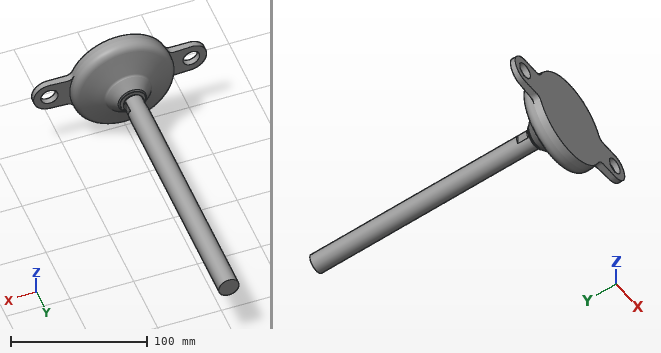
import cadquery as cq
import math

total_height = 231.5

foot_radius = 40.0
sole_radius = 39.1
skirt_height = 5.8
band_top = 9.3
shoulder_radius = 6.5
slope_angle = 21.1
hub_base_radius = 19.0
hub_blend_radius = 17.5
hub_blend_height = 23.2
hub_top_radius = 11.0
hub_top_height = 29.9
groove_radius = 9.5
groove_height = 30.3
lip_radius = 10.2
lip_height = 30.8
collar_height = 31.3

lug_radius = 12.3
lug_hole_diameter = 13.2
lug_reach = 136.0 / 2
lug_centre = lug_reach - lug_radius
lug_tip_height = 4.5
lug_root_fillet = 5.5

stem_radius = 16.0 / 2
stem_end_radius = 7.5
stem_taper_top = 32.5
stem_bottom = collar_height
flat_bottom = 33.5
flat_top = 42.8
across_flats = 13.0


def make_foot_dome():
    """Revolve the half profile above the skirt about the Y axis."""
    slope = math.radians(slope_angle)
    arc_x = foot_radius - shoulder_radius
    middle = (math.pi / 2 - slope) / 2
    shoulder_middle = (
        arc_x + shoulder_radius * math.cos(middle),
        band_top + shoulder_radius * math.sin(middle),
    )
    shoulder_end = (
        arc_x + shoulder_radius * math.sin(slope),
        band_top + shoulder_radius * math.cos(slope),
    )
    hub_base_height = shoulder_end[1] + (shoulder_end[0] - hub_base_radius) * math.tan(slope)
    return (
        cq.Workplane("XY")
        .moveTo(0, skirt_height)
        .lineTo(foot_radius, skirt_height)
        .lineTo(foot_radius, band_top)
        .threePointArc(shoulder_middle, shoulder_end)
        .lineTo(hub_base_radius, hub_base_height)
        .tangentArcPoint((hub_blend_radius, hub_blend_height), relative=False)
        .lineTo(hub_top_radius, hub_top_height)
        .lineTo(groove_radius, groove_height)
        .lineTo(lip_radius, lip_height)
        .lineTo(lip_radius, collar_height)
        .lineTo(0, collar_height)
        .close()
        .revolve(360, (0, 0, 0), (0, 1, 0))
    )


def make_skirt_with_lugs():
    """Join the tapered skirt and the lugs, fillet the roots and slope the lug tops."""
    blank_height = 2 * skirt_height
    blank_radius = 2 * foot_radius - sole_radius
    skirt = (
        cq.Workplane("XY")
        .lineTo(sole_radius, 0)
        .lineTo(blank_radius, blank_height)
        .lineTo(0, blank_height)
        .close()
        .revolve(360, (0, 0, 0), (0, 1, 0))
    )
    lugs = cq.Workplane("XZ").slot2D(2 * lug_reach, 2 * lug_radius).extrude(-blank_height)
    box_half_width = lug_radius + lug_root_fillet / 4
    root_edges = cq.selectors.BoxSelector(
        (-foot_radius, blank_height / 4, -box_half_width),
        (foot_radius, blank_height * 3 / 4, box_half_width),
    )
    blank = skirt.union(lugs).edges(root_edges).fillet(lug_root_fillet)
    slope_envelope = (
        cq.Workplane("XY")
        .moveTo(-lug_reach, 0)
        .lineTo(lug_reach, 0)
        .lineTo(lug_reach, lug_tip_height)
        .lineTo(foot_radius, skirt_height)
        .lineTo(-foot_radius, skirt_height)
        .lineTo(-lug_reach, lug_tip_height)
        .close()
        .extrude(blank_radius, both=True)
    )
    return blank.intersect(slope_envelope)


def make_foot():
    foot = make_foot_dome().union(make_skirt_with_lugs())
    holes = (
        cq.Workplane("XZ")
        .pushPoints([(-lug_centre, 0), (lug_centre, 0)])
        .circle(lug_hole_diameter / 2)
        .extrude(-foot_radius)
    )
    return foot.cut(holes)


def make_stem():
    """Turn the stem with a tapered lower end, then cut two wrench flats facing -X and +X."""
    stem = (
        cq.Workplane("XY")
        .moveTo(0, stem_bottom)
        .lineTo(stem_end_radius, stem_bottom)
        .lineTo(stem_radius, stem_taper_top)
        .lineTo(stem_radius, total_height)
        .lineTo(0, total_height)
        .close()
        .revolve(360, (0, 0, 0), (0, 1, 0))
    )
    flat_length = flat_top - flat_bottom
    flat_depth = stem_radius - across_flats / 2
    for side in (-1, 1):
        cutter = cq.Workplane("XY").box(2 * flat_depth, flat_length, 2 * stem_radius)
        cutter_x = side * (across_flats / 2 + flat_depth)
        stem = stem.cut(cutter.translate((cutter_x, flat_bottom + flat_length / 2, 0)))
    return stem


foot = make_foot()
stem = make_stem()

result = cq.Compound.makeCompound([foot.val(), stem.val()])